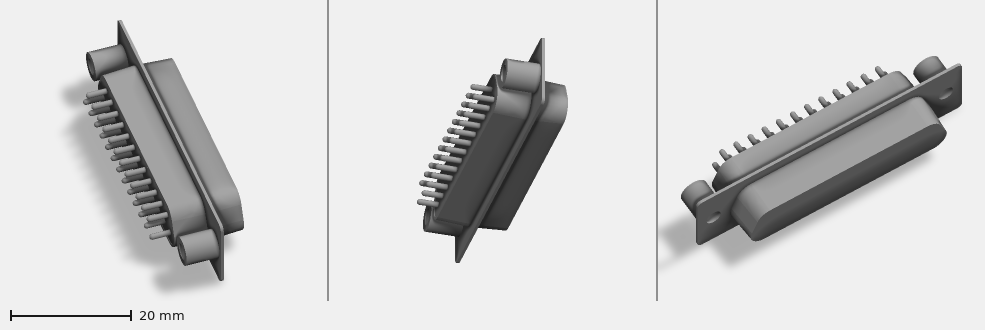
import cadquery as cq
import math


FLANGE_LENGTH = 51.85
FLANGE_HEIGHT = 13.0
FLANGE_THICKNESS = 0.5
FLANGE_CORNER_RADIUS = 1.0

SHELL_FRONT_DEPTH = 5.75
SHELL_BACK_DEPTH = 5.9
SHELL_END_HALF_HEIGHT = 3.95
SHELL_END_HALF_WIDTH = 19.2
SHELL_CORNER_RADIUS = 2.65
SHELL_SIDE_ANGLE = 23.0
SHELL_DRAFT_GROWTH = 0.335

RIM_WIDTH = 0.4
RECESS_DEPTH = 0.1

STANDOFF_DIAMETER = 5.0
STANDOFF_HOLE_DIAMETER = 2.8
STANDOFF_OFFSET = 22.75

PIN_DIAMETER = 1.0
PIN_ROW_SPACING = 2.85
LOWER_ROW_COUNT = 13
LOWER_ROW_SPAN = 33.25
OVERALL_DEPTH = 15.7

PIN_PITCH = LOWER_ROW_SPAN / (LOWER_ROW_COUNT - 1)
PIN_PROJECTION = OVERALL_DEPTH - SHELL_FRONT_DEPTH - FLANGE_THICKNESS - SHELL_BACK_DEPTH


def plane_at(y):
    """Plane at the given Y whose local axes are X and Z; its normal is -Y."""
    return cq.Plane(origin=(0, y, 0), xDir=(1, 0, 0), normal=(0, -1, 0))


def d_outline(plane, growth):
    """D outline with four rounded corners, offset outward by growth from the shell end."""
    radius = SHELL_CORNER_RADIUS + growth
    angle = math.radians(SHELL_SIDE_ANGLE)
    arc_rise = SHELL_END_HALF_HEIGHT - SHELL_CORNER_RADIUS
    lower_x = SHELL_END_HALF_WIDTH - SHELL_CORNER_RADIUS
    upper_x = lower_x - 2 * arc_rise * math.tan(angle)
    half_height = SHELL_END_HALF_HEIGHT + growth

    def on_arc(center_x, center_z, degrees):
        turn = math.radians(degrees)
        return center_x + radius * math.cos(turn), center_z + radius * math.sin(turn)

    def mirrored(point):
        return -point[0], point[1]

    lower_mid = on_arc(lower_x, -arc_rise, (SHELL_SIDE_ANGLE - 90) / 2)
    lower_end = on_arc(lower_x, -arc_rise, SHELL_SIDE_ANGLE)
    upper_start = on_arc(upper_x, arc_rise, SHELL_SIDE_ANGLE)
    upper_mid = on_arc(upper_x, arc_rise, (SHELL_SIDE_ANGLE + 90) / 2)
    return (
        cq.Workplane(plane)
        .moveTo(-lower_x, -half_height)
        .lineTo(lower_x, -half_height)
        .threePointArc(lower_mid, lower_end)
        .lineTo(*upper_start)
        .threePointArc(upper_mid, (upper_x, half_height))
        .lineTo(-upper_x, half_height)
        .threePointArc(mirrored(upper_mid), mirrored(upper_start))
        .lineTo(*mirrored(lower_end))
        .threePointArc(mirrored(lower_mid), (-lower_x, -half_height))
        .close()
    )


def shell_half(flange_y, end_y):
    """Drafted half of the shell, lofted from the flange to its end face."""
    base = d_outline(plane_at(flange_y), SHELL_DRAFT_GROWTH).wires().val()
    end = d_outline(plane_at(end_y), 0).wires().val()
    return cq.Workplane(cq.Solid.makeLoft([base, end], True))


def flange():
    plate = cq.Workplane(plane_at(FLANGE_THICKNESS)).rect(FLANGE_LENGTH, FLANGE_HEIGHT)
    return plate.extrude(FLANGE_THICKNESS).edges("|Y").fillet(FLANGE_CORNER_RADIUS)


def standoff_cylinders(diameter, back_y):
    """Pair of cylinders from back_y to the front face of the shell."""
    centers = [(-STANDOFF_OFFSET, 0), (STANDOFF_OFFSET, 0)]
    cylinders = cq.Workplane(plane_at(back_y)).pushPoints(centers).circle(diameter / 2)
    return cylinders.extrude(SHELL_FRONT_DEPTH + back_y)


def pin_row(count, z):
    """Row of round-tipped pins, centred on X = 0 and rooted in the recess floor."""
    radius = PIN_DIAMETER / 2
    first_x = -(count - 1) * PIN_PITCH / 2
    root_y = RECESS_DEPTH - SHELL_FRONT_DEPTH
    length = RECESS_DEPTH + PIN_PROJECTION
    centers = [(first_x + i * PIN_PITCH, z) for i in range(count)]
    shafts = cq.Workplane(plane_at(root_y)).pushPoints(centers).circle(radius).extrude(length - radius)
    tips = cq.Workplane(plane_at(root_y - length + radius)).pushPoints(centers).sphere(radius)
    return shafts.union(tips)


recess = d_outline(plane_at(RECESS_DEPTH - SHELL_FRONT_DEPTH), -RIM_WIDTH).extrude(RECESS_DEPTH)

result = (
    flange()
    .union(shell_half(0, -SHELL_FRONT_DEPTH))
    .union(shell_half(FLANGE_THICKNESS, FLANGE_THICKNESS + SHELL_BACK_DEPTH))
    .cut(recess)
    .union(standoff_cylinders(STANDOFF_DIAMETER, 0))
    .cut(standoff_cylinders(STANDOFF_HOLE_DIAMETER, FLANGE_THICKNESS))
    .union(pin_row(LOWER_ROW_COUNT, -PIN_ROW_SPACING / 2))
    .union(pin_row(LOWER_ROW_COUNT - 1, PIN_ROW_SPACING / 2))
)